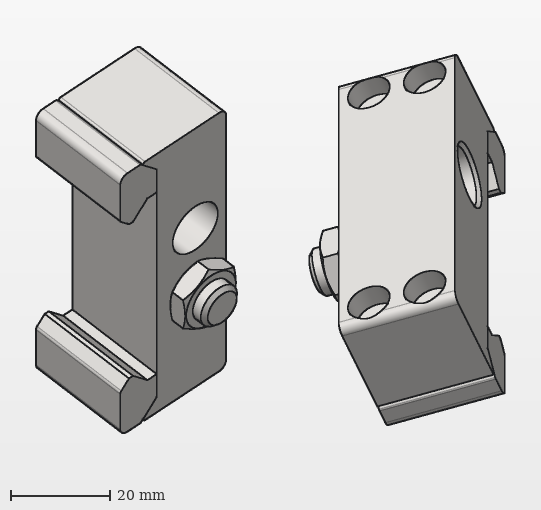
import cadquery as cq
import math

length = 25.0
height = 74.0
depth = 29.1
jaw_depth = 10.0
outer_radius = 2.0
mid_height = height / 2

seat_rise = 4.4
nose_radius = 0.5
jaw_corner_radius = 0.5

jaw_heel = 11.0
jaw_height = 14.95
tip_near = 2.4
tip_flat = 1.1
hook_radius = 1.0

cross_offset = 8.5
cross_inset = 8.5
hole_diameter = 12.4
hole_mouth_diameter = 14.0
hole_chamfer = (hole_mouth_diameter - hole_diameter) / 2

stud_diameter = 10.0
stud_length = 8.0
stud_chamfer = 1.0
nut_flats = 14.0
nut_thickness = 4.65
nut_corners = nut_flats / math.cos(math.radians(30))
nut_face_diameter = 13.6
nut_bevel_angle = 30.0

screw_pitch = 12.0
screw_inset = 5.5
counterbore_diameter = 9.0
counterbore_depth = 5.0


def make_block():
    """Block with a sloped seat for a jaw at each end of its front face."""
    lip = jaw_depth - seat_rise
    outline = [
        (depth, 0),
        (lip, 0),
        (jaw_depth, seat_rise),
        (jaw_depth, height - seat_rise),
        (lip, height),
        (depth, height),
    ]
    block = cq.Workplane("YZ").polyline(outline).close().extrude(length)
    block = block.edges("|X and >Y").fillet(outer_radius)
    return block.edges("|X and <Y").fillet(nose_radius)


def cut_cross_hole(block):
    """Through hole along X with a chamfered mouth at the X = 0 face."""
    center = (depth - cross_inset, mid_height + cross_offset)
    plane = cq.Workplane("YZ").center(*center)
    block = block.cut(plane.circle(hole_diameter / 2).extrude(length))
    mouth = plane.circle(hole_mouth_diameter / 2).workplane(offset=hole_chamfer)
    return block.cut(mouth.circle(hole_diameter / 2).loft())


def cut_counterbores(block):
    """Blind round recesses behind the jaws, two at each end."""
    for x in (length / 2 - screw_pitch / 2, length / 2 + screw_pitch / 2):
        for z in (screw_inset, height - screw_inset):
            recess = cq.Solid.makeCylinder(
                counterbore_diameter / 2, counterbore_depth,
                cq.Vector(x, depth, z), cq.Vector(0, -1, 0),
            )
            block = block.cut(cq.Workplane(recess))
    return block


def make_stud():
    """Stud end with a hexagon nut on it, made in one piece with the block."""
    plane = cq.Workplane(
        "YZ", origin=(length, depth - cross_inset, mid_height - cross_offset)
    )
    stud = plane.circle(stud_diameter / 2).extrude(stud_length).faces(">X").chamfer(stud_chamfer)
    hexagon = plane.transformed(rotate=(0, 0, 90)).polygon(6, nut_corners).extrude(nut_thickness)

    bevel_width = (nut_corners - nut_face_diameter) / 2
    bevel_height = bevel_width * math.tan(math.radians(nut_bevel_angle))
    envelope = plane.circle(nut_corners / 2).extrude(nut_thickness)
    envelope = envelope.edges().chamfer(bevel_height, bevel_width)
    return stud.union(hexagon.intersect(envelope))


def make_upper_jaw():
    """Hooked jaw lying on the upper seat, with its tip pointing down."""
    tip_far = tip_near + tip_flat
    hook_slope = jaw_height - jaw_heel
    outline = [
        (0, height),
        (jaw_depth - seat_rise, height),
        (jaw_depth, height - seat_rise),
        (jaw_depth, height - jaw_heel),
        (tip_far + hook_slope, height - jaw_heel),
        (tip_far, height - jaw_height),
        (tip_near, height - jaw_height),
        (0, height - jaw_height + tip_near),
    ]
    jaw = cq.Workplane("YZ").polyline(outline).close().extrude(length)
    jaw = jaw.faces("<Y").edges("|X").edges(">Z").fillet(outer_radius)
    jaw = jaw.faces("<Y").edges("|X").edges("<Z").fillet(hook_radius)
    return jaw.faces(">Z").edges("|X").edges(">Y").fillet(jaw_corner_radius)


block = cut_counterbores(cut_cross_hole(make_block())).union(make_stud())
upper_jaw = make_upper_jaw()
lower_jaw = upper_jaw.mirror("XY", (0, 0, mid_height))

result = cq.Compound.makeCompound([block.val(), upper_jaw.val(), lower_jaw.val()])